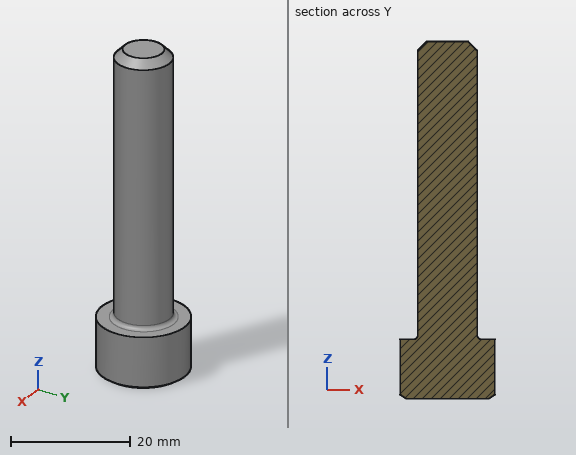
import cadquery as cq

total_length = 60.0
head_diameter = 16.0
head_height = 10.0
shank_diameter = 10.0
tip_chamfer = 1.5
neck_fillet_radius = 0.8
head_chamfer_width = 1.1
head_chamfer_height = 0.7

head_radius = head_diameter / 2
shank_radius = shank_diameter / 2

half_section = (
    cq.Workplane("XZ")
    .lineTo(head_radius - head_chamfer_width, 0)
    .lineTo(head_radius, head_chamfer_height)
    .lineTo(head_radius, head_height)
    .lineTo(shank_radius + neck_fillet_radius, head_height)
    .radiusArc((shank_radius, head_height + neck_fillet_radius), neck_fillet_radius)
    .lineTo(shank_radius, total_length - tip_chamfer)
    .lineTo(shank_radius - tip_chamfer, total_length)
    .lineTo(0, total_length)
    .close()
)

result = half_section.revolve(360, (0, 0), (0, 1))